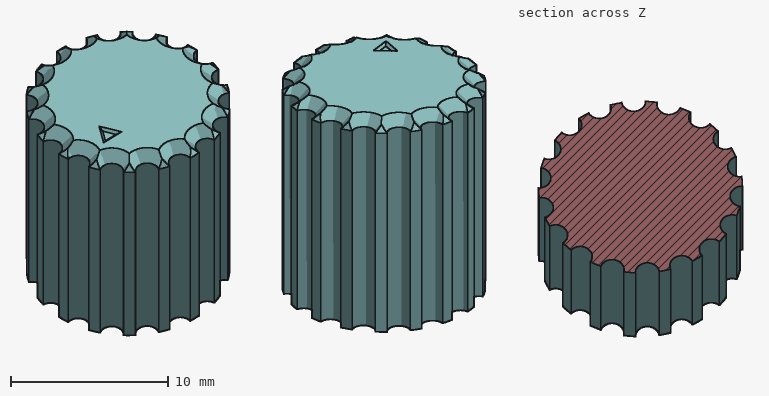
import cadquery as cq

outer_diameter = 13.0
height = 15.0
outer_radius = outer_diameter / 2

flute_count = 18
flute_radius = 0.75
flute_pitch = 360 / flute_count
grip_turn = 0.25

top_chamfer = 0.7

pointer_tooth = -4
pointer_angle = pointer_tooth * flute_pitch + grip_turn
pointer_centre_radius = 3.85
pointer_circumradius = 0.88
pointer_depth = 0.18
pointer_wall_angle = 45


def flute_cutter():
    """Upright cylinder that flares into a cone over the chamfer height."""
    flared_radius = flute_radius + top_chamfer
    profile = [
        (0, 0),
        (flute_radius, 0),
        (flute_radius, height - top_chamfer),
        (flared_radius, height),
        (0, height),
    ]
    return cq.Workplane("XZ").polyline(profile).close().revolve()


def fluted_body():
    """Chamfered cylinder with evenly spaced flutes along its full height."""
    body = cq.Workplane("XY").circle(outer_radius).extrude(height)
    body = body.faces(">Z").chamfer(top_chamfer)
    cutter = flute_cutter().translate((outer_radius, 0, 0))
    for index in range(flute_count):
        angle = grip_turn + (index + 0.5) * flute_pitch
        body = body.cut(cutter.rotate((0, 0, 0), (0, 0, 1), angle))
    return body


def pointer_recess():
    """Tapered triangular cutter, narrowing downward from the top face."""
    triangle_corners = 3
    return (
        cq.Workplane("XY")
        .polygon(triangle_corners, 2 * pointer_circumradius)
        .extrude(-pointer_depth, taper=pointer_wall_angle)
        .translate((pointer_centre_radius, 0, height))
        .rotate((0, 0, 0), (0, 0, 1), pointer_angle)
    )


result = fluted_body().cut(pointer_recess())